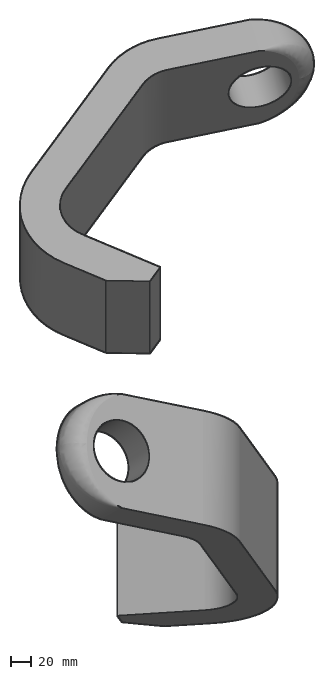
import cadquery as cq
import math

overall_length = 387.5
overall_width = 170.0
height = 120.0
thickness = 40.0
inner_radius = 40.0
spine_length = 150.0
arm_angle = 45.0
toe_angle = 3.0
toe_tip = 20.5
toe_bevel = 38.0
eye_hole_diameter = 64.5
rim_flat = 0.2
root_fillet = 0.2
fillet_steps = 8

outer_radius = inner_radius + thickness
middle_radius = inner_radius + thickness / 2
eye_radius = height / 2
bend_x = outer_radius
lower_bend_y = outer_radius
upper_bend_y = lower_bend_y + spine_length
arm_x = math.cos(math.radians(arm_angle))
arm_y = math.sin(math.radians(arm_angle))
eye_y = overall_length - thickness / 2 - (eye_radius - thickness / 2) * arm_y
arm_length = (eye_y - upper_bend_y - middle_radius * arm_x) / arm_y
eye_x = bend_x - middle_radius * arm_y + arm_length * arm_x


def bend_point(center_y, radius, angle):
    """Point on a bend, with the angle in degrees from +X."""
    turn = math.radians(angle)
    return (bend_x + radius * math.cos(turn), center_y + radius * math.sin(turn))


def arm_end(radius):
    """End of the upper arm on the face tangent to the given bend radius."""
    x, y = bend_point(upper_bend_y, radius, arm_angle + 90)
    return (x + arm_length * arm_x, y + arm_length * arm_y)


def toe_point(radius, x):
    """Point at x on the lower arm face tangent to the given bend radius."""
    start_x, start_y = bend_point(lower_bend_y, radius, toe_angle - 90)
    return (x, start_y + (x - start_x) * math.tan(math.radians(toe_angle)))


def make_hook():
    upper_end = arm_angle + 90
    upper_mid = (upper_end + 180) / 2
    lower_end = toe_angle + 270
    lower_mid = (lower_end + 180) / 2
    toe_top = toe_point(inner_radius, overall_width)
    return (
        cq.Workplane("XY")
        .moveTo(*arm_end(outer_radius))
        .lineTo(*bend_point(upper_bend_y, outer_radius, upper_end))
        .threePointArc(bend_point(upper_bend_y, outer_radius, upper_mid), (0, upper_bend_y))
        .lineTo(0, lower_bend_y)
        .threePointArc(
            bend_point(lower_bend_y, outer_radius, lower_mid),
            bend_point(lower_bend_y, outer_radius, lower_end),
        )
        .lineTo(*toe_point(outer_radius, overall_width - toe_bevel))
        .lineTo(overall_width, toe_top[1] - toe_tip)
        .lineTo(*toe_top)
        .lineTo(*bend_point(lower_bend_y, inner_radius, lower_end))
        .threePointArc(
            bend_point(lower_bend_y, inner_radius, lower_mid),
            bend_point(lower_bend_y, inner_radius, 180),
        )
        .lineTo(*bend_point(upper_bend_y, inner_radius, 180))
        .threePointArc(
            bend_point(upper_bend_y, inner_radius, upper_mid),
            bend_point(upper_bend_y, inner_radius, upper_end),
        )
        .lineTo(*arm_end(inner_radius))
        .close()
        .extrude(height)
    )


eye_plane = cq.Plane(
    origin=(eye_x, eye_y, height / 2), xDir=(arm_x, arm_y, 0), normal=(-arm_y, arm_x, 0)
)


def make_eye():
    """Half disc whose rim fillets grow from zero at the arm to a full round at the crown.

    The radius follows the cosine of the angle from the crown.
    """
    diagonal = eye_radius * math.sqrt(0.5)
    quarter = (
        cq.Workplane("XY")
        .workplane(offset=-thickness / 2)
        .lineTo(eye_radius, 0)
        .threePointArc((diagonal, diagonal), (0, eye_radius))
        .close()
        .extrude(thickness)
    )
    crown_fillet = (thickness - rim_flat) / 2
    kernel = cq.occ_impl.shapes
    radius_law = kernel.TColgp_HArray1OfPnt2d(1, fillet_steps + 1)
    for step in range(fillet_steps + 1):
        fraction = step / fillet_steps
        radius = max(root_fillet, crown_fillet * math.cos(fraction * math.pi / 2))
        radius_law.SetValue(step + 1, kernel.gp_Pnt2d(fraction, radius))
    fillet = kernel.BRepFilletAPI_MakeFillet(quarter.val().wrapped)
    for edge in quarter.edges("%CIRCLE").vals():
        fillet.Add(radius_law.Array1(), edge.wrapped)
    rounded = cq.Workplane(cq.Shape.cast(fillet.Shape()))
    return rounded.union(rounded.mirror("XZ"))


eye = make_eye().val().moved(cq.Location(eye_plane))
eye_hole = (
    cq.Workplane(eye_plane)
    .workplane(offset=-thickness)
    .circle(eye_hole_diameter / 2)
    .extrude(2 * thickness)
)
result = make_hook().union(cq.Workplane(eye)).cut(eye_hole)